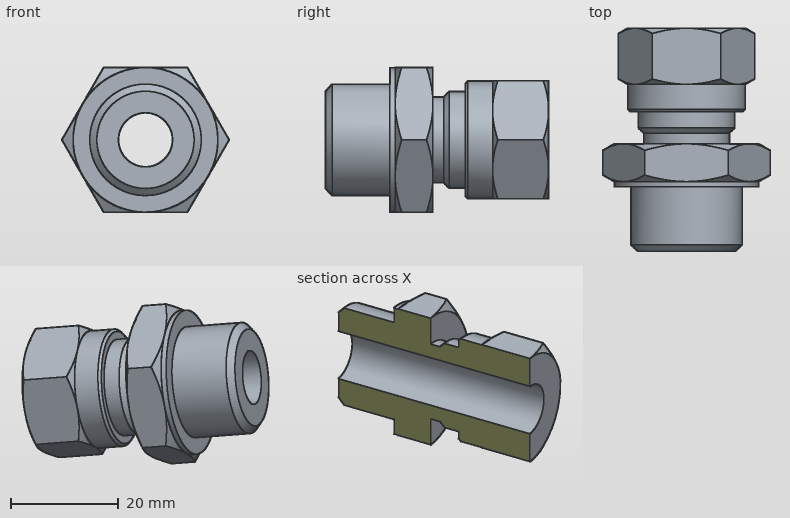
import cadquery as cq
import math

total_length = 41.5
bore_diameter = 10.0
chamfer_angle = 30.0

spigot_radius = 10.38
spigot_length = 12.0
spigot_chamfer_length = 1.25
spigot_chamfer_depth = 1.33

body_flats = 27.0
collar_radius = 13.45
collar_end = 13.0
body_hex_end = 20.0

neck_radius = 8.0
neck_end = 22.0
shoulder_radius = 9.0
shoulder_cone_end = neck_end + shoulder_radius - neck_radius

nut_flats = 22.0
skirt_start = 26.0
skirt_radius = 10.95
skirt_chamfer = 0.5
nut_hex_start = 31.1


def revolve_about_y(points):
    """Revolve a closed (radius, y) outline about the Y axis."""
    return cq.Workplane("XY").polyline(points).close().revolve(360, (0, 0, 0), (0, 1, 0))


def chamfered_hexagon(across_flats, start, end):
    """Hexagon along Y, corners on X, with conical corner chamfers at both ends."""
    flat_radius = across_flats / 2
    corner_radius = flat_radius / math.cos(math.radians(30))
    chamfer_length = (corner_radius - flat_radius) * math.tan(math.radians(chamfer_angle))
    prism = (
        cq.Workplane("XZ", origin=(0, start, 0))
        .polygon(6, 2 * corner_radius)
        .extrude(start - end)
    )
    envelope = revolve_about_y([
        (0, start),
        (flat_radius, start),
        (corner_radius, start + chamfer_length),
        (corner_radius, end - chamfer_length),
        (flat_radius, end),
        (0, end),
    ])
    return prism.intersect(envelope)


core = revolve_about_y([
    (0, 0),
    (spigot_radius - spigot_chamfer_depth, 0),
    (spigot_radius, spigot_chamfer_length),
    (spigot_radius, spigot_length),
    (collar_radius, spigot_length),
    (collar_radius, collar_end),
    (neck_radius, collar_end),
    (neck_radius, neck_end),
    (shoulder_radius, shoulder_cone_end),
    (shoulder_radius, skirt_start),
    (skirt_radius - skirt_chamfer, skirt_start),
    (skirt_radius, skirt_start + skirt_chamfer),
    (skirt_radius, nut_hex_start),
    (0, nut_hex_start),
])

body_hex = chamfered_hexagon(body_flats, collar_end, body_hex_end)
nut_hex = chamfered_hexagon(nut_flats, nut_hex_start, total_length)

bore = cq.Workplane("XZ").circle(bore_diameter / 2).extrude(-total_length)

result = core.union(body_hex).union(nut_hex).cut(bore)